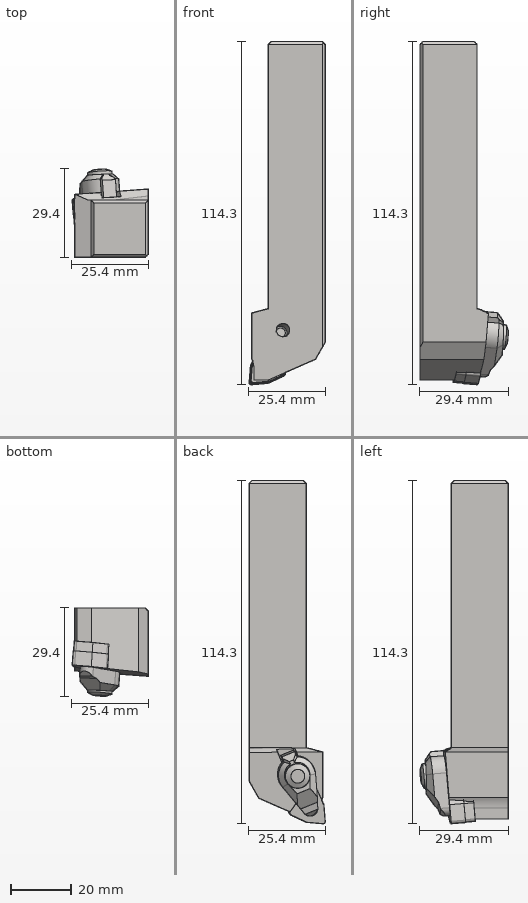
import cadquery as cq
import math

overall_length = 114.3
shank_size = 19.05
shank_chamfer = 1.0
head_offset = 5.5
shoulder_z = 25.4
shoulder_angle = 15.0
relief_depth = 0.8
relief_top_z = 8.7
relief_bottom_z = 5.2
nose_z = 1.6
nose_end_x = 0.1
toe_x, toe_z = 15.8, 8.5
toe_top_z = 14.2

seat_y = 21.4
seat_z = 24.0
seat_slope_x = 0.0736
seat_slope_z = 0.082
shoulder_slope = math.tan(math.radians(shoulder_angle))
ramp_slope = shoulder_slope
side_ramp_slope = 0.536
side_ramp_tilt = 0.0314
side_ramp_x = -0.95

inscribed_radius = 9.525 / 2
nose_radius = 0.8
corner_half_angle = math.radians(40)
insert_thickness = 4.76
shim_thickness = 3.3
shim_inset = 0.12
insert_x, insert_z = -1.23, 5.14

screw_x, screw_z = 3.4, 16.5
screw_radius = 2.2
screw_head_radius = 4.1
screw_head_top = 8.2
screw_head_bevel_height = 0.8
screw_head_bevel_width = 1.8
screw_depth = 10.0
screw_tip_bevel = 0.6
clamp_radius = 6.2
clamp_nose_radius = 2.5
clamp_heel_width = 4.7
clamp_heel_reach = 7.6
clamp_heel_bevel = 2.2
clamp_blank_height = 6.9
clamp_edge_bevel = 2.3
clamp_back_height = 6.2
clamp_slope_end = -5.5
clamp_slope_start = -11.0
clamp_nose_height = 3.0
clamp_tip_height = 1.5
clamp_tip_length = 1.5
clamp_middle_height = 3.5
heel_foot_start = 5.6
heel_foot_depth = 1.9
heel_slot_width = 5.8
heel_slot_runout = 3.0
margin = 40.0


def seat_height(x, z):
    """Y of the tilted seat plane at a given X and Z."""
    return seat_y + seat_slope_x * x + seat_slope_z * (z - seat_z)


def seat_plane(x, z, angle=0.0):
    """Frame on the seat: local z leaves the holder, local x points to -X, local y to +Z."""
    frame = cq.Plane(
        origin=(x, seat_height(x, z), z),
        xDir=(-1, -seat_slope_x, 0),
        normal=(-seat_slope_x, 1, -seat_slope_z),
    )
    return frame.rotated((0, 0, angle))


def half_space(origin, normal):
    """Large block on the outer side of a plane."""
    plane = cq.Plane(origin=origin, normal=normal)
    return cq.Workplane(plane).rect(2 * margin, 2 * margin).extrude(margin)


def make_blank():
    """Shank and head, before the pocket and the bore."""
    flank_x = -head_offset
    relief_x = flank_x + relief_depth
    drop = head_offset * shoulder_slope
    rise = relief_top_z - relief_bottom_z
    relief_radius = (relief_depth**2 + rise**2) / (2 * relief_depth)
    sweep = math.asin(rise / relief_radius) / 2
    arc_middle = (
        relief_x - relief_radius * (1 - math.cos(sweep)),
        relief_bottom_z + relief_radius * math.sin(sweep),
    )
    head = (
        cq.Workplane("XZ")
        .moveTo(0, shoulder_z)
        .lineTo(flank_x, shoulder_z - drop)
        .lineTo(flank_x, relief_top_z)
        .threePointArc(arc_middle, (relief_x, relief_bottom_z))
        .lineTo(relief_x, nose_z)
        .lineTo(nose_end_x, nose_z)
        .lineTo(toe_x, toe_z)
        .lineTo(shank_size, toe_top_z)
        .lineTo(shank_size, shoulder_z)
        .close()
        .extrude(-margin)
    )
    above_seat = half_space((0, seat_y, seat_z), (-seat_slope_x, 1, -seat_slope_z))
    behind_shank = (
        cq.Workplane("XY", origin=(shank_size / 2, shank_size + margin / 2, shoulder_z))
        .box(2 * margin, margin, margin)
    )
    above_ramp = half_space((0, shank_size, shoulder_z), (0, ramp_slope, 1))
    above_side_ramp = half_space(
        (side_ramp_x, shank_size, shoulder_z + side_ramp_x * shoulder_slope),
        (-side_ramp_tilt, side_ramp_slope, 1),
    )
    above_ramps = above_ramp.union(above_side_ramp).intersect(behind_shank)
    shank = (
        cq.Workplane("XY", origin=(0, 0, shoulder_z))
        .rect(shank_size, shank_size, centered=False)
        .extrude(overall_length - shoulder_z)
        .faces(">Z")
        .chamfer(shank_chamfer)
    )
    corner_edge = (
        cq.Workplane("XY")
        .polyline([
            (shank_size - shank_chamfer, 0),
            (shank_size, 0),
            (shank_size, shank_chamfer),
        ])
        .close()
        .extrude(overall_length)
    )
    return head.cut(above_seat).cut(above_ramps).union(shank).cut(corner_edge)


def trigon(plane, bottom, thickness, inset):
    """Trigon plate with three rounded 80 degree corners, the first one pointing to -X and -Z."""
    radius = inscribed_radius - inset
    corner_distance = radius / math.sin(corner_half_angle)
    flat_distance = radius / math.sin(2 * corner_half_angle)
    points = []
    for index in range(6):
        distance = corner_distance if index % 2 == 0 else flat_distance
        angle = math.radians(-45 + 60 * index)
        points.append((distance * math.cos(angle), distance * math.sin(angle)))
    plate = cq.Workplane(plane).workplane(offset=bottom).polyline(points).close().extrude(thickness)
    for x, y in points[::2]:
        middle = plane.toWorldCoords((x, y, bottom + thickness / 2))
        corner = cq.selectors.NearestToPointSelector(middle.toTuple())
        plate = plate.edges(corner).fillet(nose_radius)
    return plate


def make_insert_stack():
    """Insert flush with the seat, on a slightly smaller shim."""
    plane = seat_plane(insert_x, insert_z)
    insert = trigon(plane, -insert_thickness, insert_thickness, 0)
    shim = trigon(plane, -insert_thickness - shim_thickness, shim_thickness, shim_inset)
    return insert.union(shim)


def make_clamp():
    """Clamp along local y: heel at +y, nose over the insert at -y."""
    plane = clamp_plane
    body = cq.Workplane(plane).circle(clamp_radius).extrude(clamp_blank_height)
    heel = (
        cq.Workplane(plane)
        .center(0, clamp_heel_reach / 2)
        .rect(clamp_heel_width, clamp_heel_reach)
        .extrude(clamp_blank_height)
    )
    lean = math.asin((clamp_radius - clamp_nose_radius) / clamp_reach)
    side_x, side_y = math.cos(lean), -math.sin(lean)
    nose_side = (clamp_nose_radius * side_x, clamp_nose_radius * side_y - clamp_reach)
    body_side = (clamp_radius * side_x, clamp_radius * side_y)
    arm = (
        cq.Workplane(plane)
        .moveTo(*body_side)
        .lineTo(*nose_side)
        .threePointArc((0, -clamp_reach - clamp_nose_radius), (-nose_side[0], nose_side[1]))
        .lineTo(-body_side[0], body_side[1])
        .close()
        .extrude(clamp_blank_height)
    )
    nose_tip = -clamp_reach - clamp_nose_radius
    side_frame = cq.Plane(origin=plane.origin, xDir=plane.yDir, normal=plane.xDir)
    profile = (
        cq.Workplane(side_frame)
        .moveTo(nose_tip, 0)
        .lineTo(nose_tip, clamp_tip_height)
        .lineTo(nose_tip + clamp_tip_length, clamp_nose_height)
        .lineTo(clamp_slope_start, clamp_middle_height)
        .lineTo(clamp_slope_end, clamp_blank_height)
        .lineTo(clamp_heel_reach - clamp_heel_bevel, clamp_back_height)
        .lineTo(clamp_heel_reach, clamp_back_height - clamp_heel_bevel)
        .lineTo(clamp_heel_reach, 0)
        .close()
        .extrude(margin / 2, both=True)
    )
    blank = body.union(heel).union(arm)
    blank = blank.faces(cq.selectors.DirectionMinMaxSelector(plane.zDir)).chamfer(clamp_edge_bevel)
    return blank.intersect(profile).union(heel_block(clamp_heel_width, foot_length))


def heel_block(width, length):
    """Block sunk into the holder below the clamp's heel."""
    return (
        cq.Workplane(clamp_plane)
        .center(0, heel_foot_start + length / 2)
        .rect(width, length)
        .extrude(-heel_foot_depth)
    )


def make_screw():
    """Clamp screw with a bevelled head and a bevelled tip."""
    outward = clamp_plane.zDir
    head = (
        cq.Workplane(clamp_plane)
        .circle(screw_head_radius)
        .extrude(screw_head_top)
        .faces(cq.selectors.DirectionMinMaxSelector(outward))
        .chamfer(screw_head_bevel_height, screw_head_bevel_width)
    )
    stem = (
        cq.Workplane(clamp_plane)
        .circle(screw_radius)
        .extrude(-screw_depth)
        .faces(cq.selectors.DirectionMinMaxSelector(outward, directionMax=False))
        .chamfer(screw_tip_bevel)
    )
    return head.union(stem)


slant = math.degrees(math.atan2(screw_x - insert_x, screw_z - insert_z))
clamp_reach = math.hypot(screw_x - insert_x, screw_z - insert_z)
clamp_plane = seat_plane(screw_x, screw_z, slant)
foot_length = clamp_heel_reach - heel_foot_start

insert_stack = make_insert_stack()
heel_slot = heel_block(heel_slot_width, foot_length + heel_slot_runout)
screw_bore = cq.Workplane(clamp_plane).circle(screw_radius).extrude(-margin)
holder = make_blank().cut(insert_stack).cut(heel_slot).cut(screw_bore)
cutting_unit = make_clamp().union(make_screw()).union(insert_stack)

result = cq.Compound.makeCompound([holder.val(), cutting_unit.val()])